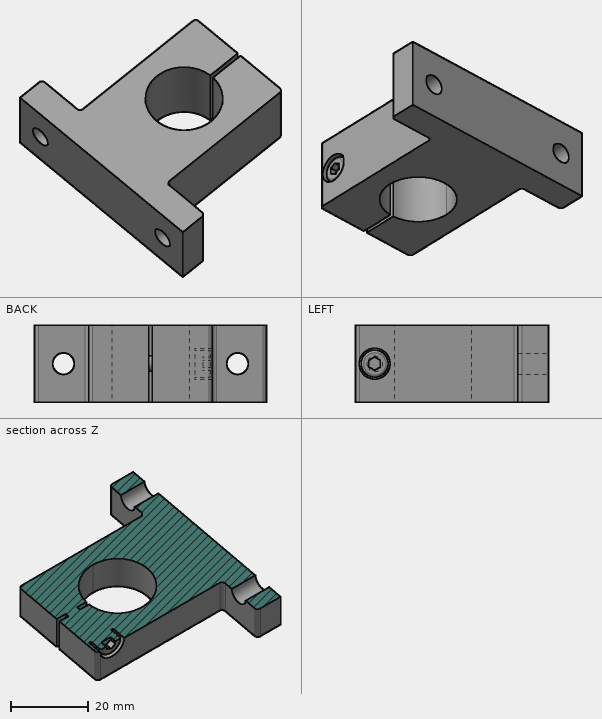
import cadquery as cq
import math

base_width = 60.0
base_height = 8.0
total_height = 50.0
thickness = 20.0
column_width = 32.0
corner_radius = 1.0

bore_diameter = 20.0
bore_height = 30.0
slit_width = 1.0

mount_spacing = 45.0
mount_diameter = 5.5

screw_height = 45.0
shank_diameter = 4.0
head_diameter = 7.0
head_length = 4.0
head_rounding = 0.6
hex_flats = 3.0
hex_depth = 2.0
counterbore_diameter = 8.0
head_recess = 0.5

middle_z = thickness / 2
head_top_x = -column_width / 2 + head_recess
counterbore_depth = head_recess + head_length


def make_body():
    """T-shaped block with rounded column and base corners."""
    base = cq.Workplane("XY").box(base_width, base_height, thickness, centered=(True, False, False))
    column = cq.Workplane("XY").box(column_width, total_height, thickness, centered=(True, False, False))
    block = base.union(column)
    return block.edges("|Z").edges("not <Y").fillet(corner_radius)


def cut_bore_and_slit(body):
    """Bore for the shaft, opened to the top of the column by a slit."""
    bore = cq.Workplane("XY").center(0, bore_height).circle(bore_diameter / 2).extrude(thickness)
    slit_length = total_height - bore_height
    slit = cq.Workplane("XY").box(slit_width, slit_length, thickness, centered=(True, False, False))
    return body.cut(bore).cut(slit.translate((0, bore_height, 0)))


def cut_mounting_holes(body):
    """Pair of plain holes through the base along Y."""
    for side in (-1, 1):
        hole = (
            cq.Workplane("XZ", origin=(side * mount_spacing / 2, base_height, middle_z))
            .circle(mount_diameter / 2)
            .extrude(base_height)
        )
        body = body.cut(hole)
    return body


def screw_plane(x):
    """Workplane facing +X, centred on the screw axis."""
    return cq.Workplane("YZ", origin=(x, screw_height, middle_z))


def add_clamp_screw(body):
    """Counterbore with the seated screw head, and its shank bridging the slit."""
    counterbore = screw_plane(-column_width / 2).circle(counterbore_diameter / 2).extrude(counterbore_depth)
    head = screw_plane(head_top_x).circle(head_diameter / 2).extrude(head_length)
    head = head.faces("<X").edges().fillet(head_rounding)
    hex_corners = hex_flats / math.cos(math.pi / 6)
    socket = screw_plane(head_top_x).transformed(rotate=(0, 0, 90)).polygon(6, hex_corners).extrude(hex_depth)
    shank = screw_plane(-slit_width / 2).circle(shank_diameter / 2).extrude(slit_width)
    return body.cut(counterbore).union(head.cut(socket)).union(shank)


result = add_clamp_screw(cut_mounting_holes(cut_bore_and_slit(make_body())))